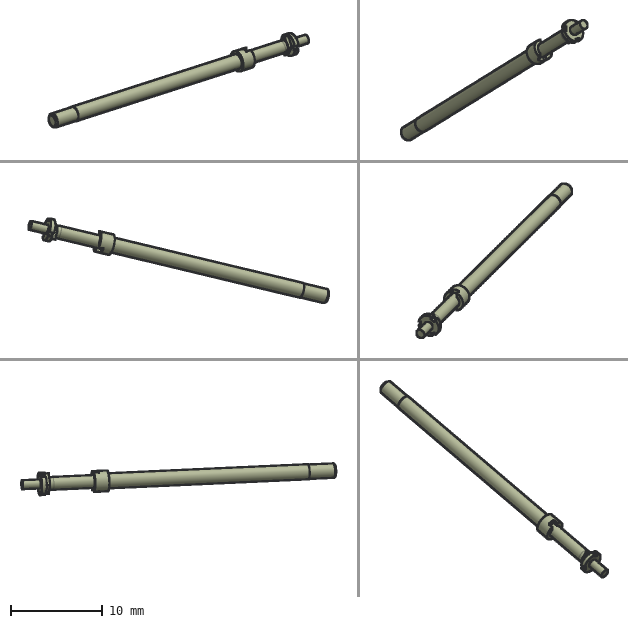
import cadquery as cq
import math

total_length = 35.0
head_end = total_length / 2
tip_end = -total_length / 2

stem_end = head_end - 1.95
disk_end = head_end - 2.5
wedge_end = head_end - 2.98
neck_end = head_end - 3.4
barrel_end = head_end - 7.95
collar_end = head_end - 9.52
body_end = head_end - 32.0

stem_diameter = 1.0
disk_diameter = 2.5
neck_top_diameter = 1.35
barrel_diameter = 1.45
collar_diameter = 2.3
body_diameter = 1.68
tip_diameter = 1.6
tip_chamfer = 0.18

notch_count = 3
notch_width = 0.5
notch_floor = 0.95

wedge_half_width = 0.65
wedge_side_angle = 60.0
wedge_half_height = wedge_half_width * math.tan(math.radians(wedge_side_angle))

slot_width = 0.75
slot_depth = 0.55


def cross_section(y):
    """Sketch plane across the axis at y; its x is X, its y is Z and it extrudes toward -Y."""
    return cq.Workplane("XZ", origin=(0, y, 0))


def cylinder(start, end, diameter):
    return cross_section(start).circle(diameter / 2).extrude(start - end)


def notched_disk():
    """Round disk with flat-floored notches in its rim, the first one pointing to +X."""
    disk = cylinder(stem_end, disk_end, disk_diameter)
    notch_reach = disk_diameter - 2 * notch_floor
    notch = (
        cross_section(stem_end)
        .center(notch_floor + notch_reach / 2, 0)
        .rect(notch_reach, notch_width)
        .extrude(stem_end - disk_end)
    )
    for index in range(notch_count):
        angle = index * 360 / notch_count
        disk = disk.cut(notch.rotate((0, 0, 0), (0, 1, 0), angle))
    return disk


def wedge():
    """Rhombic prism under the disk, tall in Z."""
    return (
        cross_section(disk_end)
        .polyline([
            (wedge_half_width, 0),
            (0, wedge_half_height),
            (-wedge_half_width, 0),
            (0, -wedge_half_height),
        ])
        .close()
        .extrude(disk_end - wedge_end)
    )


def neck():
    """Slightly tapered length between the disk and the barrel."""
    return (
        cross_section(wedge_end)
        .circle(neck_top_diameter / 2)
        .workplane(offset=wedge_end - neck_end)
        .circle(barrel_diameter / 2)
        .loft(ruled=True)
    )


def slotted_collar():
    """Collar with a slot on its +Z and -Z sides, open at the head side and as deep as the barrel."""
    collar = cylinder(barrel_end, collar_end, collar_diameter)
    slot = (
        cross_section(barrel_end)
        .rect(slot_width, collar_diameter)
        .extrude(slot_depth)
        .cut(cylinder(barrel_end, collar_end, barrel_diameter))
    )
    return collar.cut(slot)


def tip():
    return cylinder(body_end, tip_end, tip_diameter).faces("<Y").chamfer(tip_chamfer)


result = (
    cylinder(head_end, stem_end, stem_diameter)
    .union(notched_disk())
    .union(wedge())
    .union(neck())
    .union(cylinder(neck_end, barrel_end, barrel_diameter))
    .union(slotted_collar())
    .union(cylinder(collar_end, body_end, body_diameter))
    .union(tip())
)